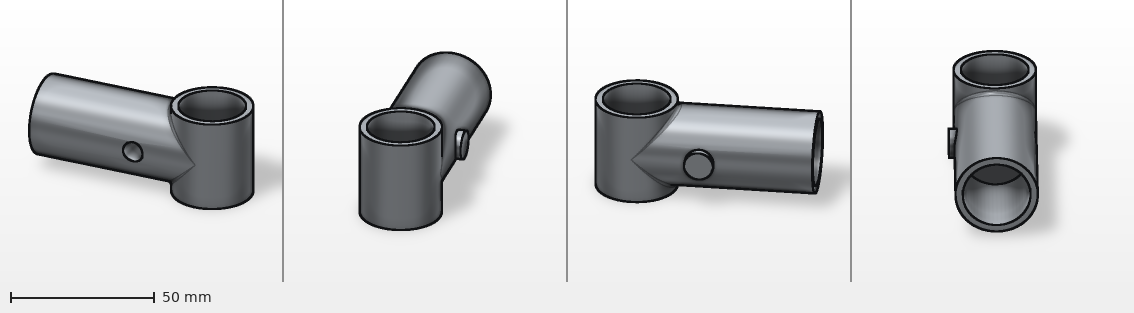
import cadquery as cq

overall_length = 77.85
tube_diameter = 28.7
bore_diameter = 23.6
socket_height = 33.0
tube_radius = tube_diameter / 2
socket_x = overall_length - tube_radius
junction_fillet = 1.25
selection_margin = 0.8

arm_bore_depth = 31.15

cross_x = 39.6
cross_hole_diameter = 7.4
boss_diameter = 10.2
boss_height = 1.9
boss_face_y = tube_radius + boss_height
cross_hole_end_y = tube_radius


def cylinder_along_x(diameter, length):
    """Solid cylinder on the X axis, starting at the open end of the arm."""
    return cq.Workplane("YZ").circle(diameter / 2).extrude(length)


def cylinder_along_y(diameter, start_y, end_y):
    """Solid cylinder along Y at the cross-hole position."""
    plane = cq.Workplane("XZ", origin=(cross_x, start_y, 0))
    return plane.circle(diameter / 2).extrude(start_y - end_y)


def socket_cylinder(diameter):
    """Vertical cylinder with the full height of the socket."""
    plane = cq.Workplane("XY", origin=(socket_x, 0, -socket_height / 2))
    return plane.circle(diameter / 2).extrude(socket_height)


body = cylinder_along_x(tube_diameter, socket_x).union(socket_cylinder(tube_diameter))
junction_edges = body.edges(
    cq.selectors.BoxSelector(
        (socket_x - tube_radius - selection_margin, -tube_radius, -tube_radius - selection_margin),
        (socket_x - selection_margin, tube_radius, tube_radius + selection_margin),
    )
)
body = junction_edges.fillet(junction_fillet)

body = body.union(cylinder_along_y(boss_diameter, 0, boss_face_y))
body = body.cut(socket_cylinder(bore_diameter))
body = body.cut(cylinder_along_x(bore_diameter, arm_bore_depth))
result = body.cut(cylinder_along_y(cross_hole_diameter, -tube_radius, cross_hole_end_y))